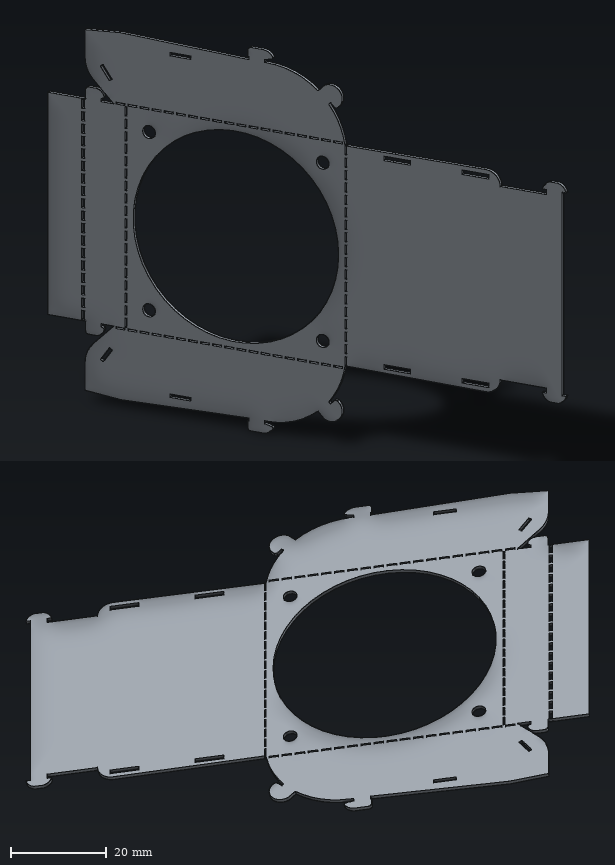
import cadquery as cq
import math

LENGTH = 119.8
HEIGHT = 86.4
THICKNESS = 0.9
LEFT_END = -43.5
RIGHT_END = LEFT_END + LENGTH
PLATE_HALF = 25.0

FOLD_X = 25.4
FOLD_Z = 25.3
SLIT_WIDTH = 0.4
BRIDGE = 0.78
UPRIGHT_ROW_LENGTH = 49.6
UPRIGHT_SLITS = 18
WING_ROW_LENGTH = 52.4
WING_SLITS = 19
WING_ROW_X = -1.5
STRIP_FOLD_X = -35.4
STRIP_FOLD_WIDTH = 0.7

OPENING_DIAMETER = 47.5
SCREW_SPACING = 40.1
SCREW_DIAMETER = 2.9

WING_LEFT = -34.9
WING_CORNER_Z = 40.6
WING_PEAK_X = -26.6
WING_PEAK_Z = 41.3
HEEL_X = -28.3
HEEL_RADIUS = 6.6
SHOULDER_X = 7.3
SHOULDER_Z = 22.3
SHOULDER_RADIUS = 18.1
WING_TOP_Z = SHOULDER_Z + SHOULDER_RADIUS
WING_SLOT_WIDTH = 0.7
LEVEL_SLOT_X = -12.8
LEVEL_SLOT_Z = 38.5
LEVEL_SLOT_LENGTH = 4.8
SLANTED_SLOT_X = -30.0
SLANTED_SLOT_Z = 31.8
SLANTED_SLOT_LENGTH = 3.6
SLANTED_SLOT_ANGLE = -55

TAB_NECK = 3.6
TAB_ROOT = 1.2
TAB_GAP = 0.6
TAB_HEIGHT = HEIGHT / 2 - WING_TOP_Z
WING_TAB_X = 3.0
FLAP_TAB_X = -34.8
EAR_X = 18.8
EAR_Z = 36.0
EAR_ANGLE = -45

PANEL_FOLD_HALF = 24.8
PANEL_HALF = 25.0
PANEL_CORNER_X = 57.8
PANEL_CORNER_RADIUS = 3.4
PANEL_NECK_HALF = 21.8
PANEL_END = 75.4
HEAD_NECK = 3.6
HEAD_OVERHANG = RIGHT_END - PANEL_END
HEAD_BOTTOM_Z = 22.9
HEAD_TOP_Z = 24.8
HEAD_ROUND = 1.8
PANEL_SLOT_LENGTH = 6.1
PANEL_SLOT_WIDTH = 1.0
PANEL_SLOT_Z = 23.5
PANEL_SLOT_XS = (37.3, 55.4)

DIAGONAL = math.sqrt(0.5)


def sheet():
    """Start an outline in the plane of the sheet."""
    return cq.Workplane("XZ")


def turned(shape, angle, x, z):
    """Shape turned counterclockwise about the origin, then moved to x, z."""
    return shape.rotate((0, 0, 0), (0, 1, 0), -angle).translate((x, 0, z))


def mirrored(half):
    """Shape together with its mirror image across the X axis."""
    return half.union(half.mirror("XY"))


def slot(x, z, length, width, angle=0):
    """Square-ended slot centred at x, z."""
    return turned(sheet().rect(length, width).extrude(THICKNESS), angle, x, z)


def slit_row(row_length, count, width):
    """Row of slits along X, centred on the origin."""
    pitch = (row_length + BRIDGE) / count
    return sheet().rarray(pitch, 1.2, count, 1).rect(pitch - BRIDGE, width).extrude(THICKNESS)


def wing_tab():
    """Tab with a small step on its left side and a barb on its right."""
    step = 0.2
    return (
        sheet()
        .moveTo(0, -TAB_ROOT)
        .lineTo(0, TAB_GAP)
        .lineTo(-step, TAB_GAP)
        .lineTo(-step, 2.2)
        .threePointArc((0, 2.6), (0.5, TAB_HEIGHT))
        .lineTo(3.1, TAB_HEIGHT)
        .threePointArc((4.7, 2.4), (5.6, 1.3))
        .lineTo(5.3, 1.0)
        .lineTo(TAB_NECK, TAB_GAP)
        .lineTo(TAB_NECK, -TAB_ROOT)
        .close()
        .extrude(THICKNESS)
    )


def flap_tab():
    """Shorter tab whose barb just clears the slanted edge of the wing."""
    return (
        sheet()
        .moveTo(0, -TAB_ROOT)
        .lineTo(0, 2.3)
        .threePointArc((0.2, 2.6), (0.7, TAB_HEIGHT))
        .lineTo(2.5, TAB_HEIGHT)
        .threePointArc((3.7, 2.3), (4.3, 1.2))
        .lineTo(4.2, 0.8)
        .lineTo(TAB_NECK, TAB_GAP)
        .lineTo(TAB_NECK, -TAB_ROOT)
        .close()
        .extrude(THICKNESS)
    )


def ear():
    """Tab with a fully rounded head and a barb on its right."""
    return (
        sheet()
        .moveTo(0, -TAB_ROOT)
        .lineTo(0, 2.3)
        .threePointArc((3.1, 4.3), (5.4, 1.2))
        .lineTo(5.0, 0.7)
        .lineTo(TAB_NECK, 0.7)
        .lineTo(TAB_NECK, -TAB_ROOT)
        .close()
        .extrude(THICKNESS)
    )


def wing():
    """Upper side wing with its tab, ear and slots."""
    heel_centre_x = WING_LEFT + HEEL_RADIUS
    arc_start_x = heel_centre_x - HEEL_RADIUS * DIAGONAL
    arc_start_z = PLATE_HALF + HEEL_X - arc_start_x
    heel_centre_z = arc_start_z + HEEL_RADIUS * DIAGONAL
    arc_mid_x = heel_centre_x - HEEL_RADIUS * math.cos(math.pi / 8)
    arc_mid_z = heel_centre_z - HEEL_RADIUS * math.sin(math.pi / 8)

    shoulder_mid = (SHOULDER_X + SHOULDER_RADIUS * DIAGONAL, SHOULDER_Z + SHOULDER_RADIUS * DIAGONAL)
    shoulder_end_x = SHOULDER_X + math.sqrt(SHOULDER_RADIUS**2 - (PLATE_HALF - SHOULDER_Z) ** 2)

    body = (
        sheet()
        .moveTo(HEEL_X, PLATE_HALF)
        .lineTo(arc_start_x, arc_start_z)
        .threePointArc((arc_mid_x, arc_mid_z), (WING_LEFT, heel_centre_z))
        .lineTo(WING_LEFT, WING_CORNER_Z)
        .lineTo(WING_PEAK_X, WING_PEAK_Z)
        .lineTo(WING_TAB_X, WING_TOP_Z)
        .lineTo(SHOULDER_X, WING_TOP_Z)
        .threePointArc(shoulder_mid, (shoulder_end_x, PLATE_HALF))
        .close()
        .extrude(THICKNESS)
    )
    body = body.union(wing_tab().translate((WING_TAB_X, 0, WING_TOP_Z)))
    body = body.union(turned(ear(), EAR_ANGLE, EAR_X, EAR_Z))
    body = body.cut(slot(LEVEL_SLOT_X, LEVEL_SLOT_Z, LEVEL_SLOT_LENGTH, WING_SLOT_WIDTH))
    return body.cut(
        slot(SLANTED_SLOT_X, SLANTED_SLOT_Z, SLANTED_SLOT_LENGTH, WING_SLOT_WIDTH, SLANTED_SLOT_ANGLE)
    )


def right_panel():
    """Upper half of the right panel with its locking head and slots."""
    corner_z = PANEL_HALF - PANEL_CORNER_RADIUS
    corner_end_x = PANEL_CORNER_X + PANEL_CORNER_RADIUS
    corner_reach = PANEL_CORNER_RADIUS * DIAGONAL
    neck_left = PANEL_END - HEAD_NECK
    head_left = neck_left - HEAD_OVERHANG
    arc_in = 0.66
    half = (
        sheet()
        .moveTo(FOLD_X, 0)
        .lineTo(FOLD_X, PANEL_FOLD_HALF)
        .lineTo(PANEL_CORNER_X, PANEL_HALF)
        .threePointArc((PANEL_CORNER_X + corner_reach, corner_z + corner_reach), (corner_end_x, corner_z))
        .lineTo(corner_end_x, PANEL_NECK_HALF)
        .lineTo(neck_left, PANEL_NECK_HALF)
        .lineTo(neck_left, HEAD_BOTTOM_Z)
        .lineTo(head_left, HEAD_BOTTOM_Z)
        .threePointArc((head_left + arc_in, HEAD_TOP_Z - arc_in), (head_left + HEAD_ROUND, HEAD_TOP_Z))
        .lineTo(RIGHT_END - HEAD_ROUND, HEAD_TOP_Z)
        .threePointArc((RIGHT_END - arc_in, HEAD_TOP_Z - arc_in), (RIGHT_END, HEAD_BOTTOM_Z))
        .lineTo(PANEL_END, HEAD_BOTTOM_Z)
        .lineTo(PANEL_END, 0)
        .close()
        .extrude(THICKNESS)
    )
    for x in PANEL_SLOT_XS:
        half = half.cut(slot(x, PANEL_SLOT_Z, PANEL_SLOT_LENGTH, PANEL_SLOT_WIDTH))
    return half


def plate():
    """Left strip, left flap and central plate with the opening and screw holes."""
    middle = (LEFT_END + FOLD_X) / 2
    body = sheet().center(middle, 0).rect(FOLD_X - LEFT_END, 2 * PLATE_HALF).extrude(THICKNESS)
    opening = sheet().circle(OPENING_DIAMETER / 2).extrude(THICKNESS)
    screws = sheet().rarray(SCREW_SPACING, SCREW_SPACING, 2, 2).circle(SCREW_DIAMETER / 2)
    return body.cut(opening).cut(screws.extrude(THICKNESS))


result = plate().union(mirrored(right_panel())).union(mirrored(wing()))
result = result.union(mirrored(flap_tab().translate((FLAP_TAB_X, 0, PLATE_HALF))))

upright_folds = ((-FOLD_X, SLIT_WIDTH), (FOLD_X, SLIT_WIDTH), (STRIP_FOLD_X, STRIP_FOLD_WIDTH))
for fold_x, width in upright_folds:
    result = result.cut(turned(slit_row(UPRIGHT_ROW_LENGTH, UPRIGHT_SLITS, width), 90, fold_x, 0))
wing_fold = slit_row(WING_ROW_LENGTH, WING_SLITS, SLIT_WIDTH).translate((WING_ROW_X, 0, FOLD_Z))
result = result.cut(mirrored(wing_fold))